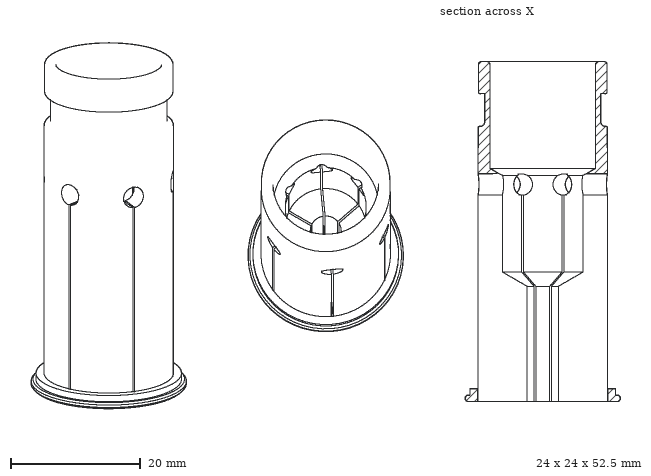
import cadquery as cq

total_height = 52.5
rim_height = 1.0
flange_height = 2.0
body_top = 42.5
head_bottom = 47.5

rim_radius = 24.0 / 2
flange_radius = 22.5 / 2
body_radius = 20.0 / 2
neck_radius = 18.0 / 2
head_radius = 19.9 / 2

rim_chamfer = 0.3
body_round = 0.3
neck_fillet = 0.6
head_top_round = 0.5
head_bottom_round = 0.3

mouth_radius = 16.3 / 2
chamber_radius = 12.5 / 2
through_radius = 4.8 / 2
mouth_round = 0.5
chamber_top = 34.9
chamber_bottom = 20.0
cone_slope = 0.577

slit_count = 6
slit_width = 0.3
first_slit_angle = 30.0
relief_diameter = 3.3
relief_height = 33.5


def make_outer_body():
    """Revolved outside shape: flange with rim, sleeve, neck and head."""
    profile = (
        cq.Workplane("XZ")
        .moveTo(0, 0)
        .lineTo(rim_radius - rim_chamfer, 0)
        .lineTo(rim_radius, rim_chamfer)
        .lineTo(rim_radius, rim_height - rim_chamfer)
        .lineTo(rim_radius - rim_chamfer, rim_height)
        .lineTo(flange_radius, rim_height)
        .lineTo(flange_radius, flange_height)
        .lineTo(body_radius, flange_height)
        .lineTo(body_radius, body_top - body_round)
        .radiusArc((body_radius - body_round, body_top), -body_round)
        .lineTo(neck_radius + neck_fillet, body_top)
        .radiusArc((neck_radius, body_top + neck_fillet), neck_fillet)
        .lineTo(neck_radius, head_bottom)
        .lineTo(head_radius - head_bottom_round, head_bottom)
        .radiusArc((head_radius, head_bottom + head_bottom_round), -head_bottom_round)
        .lineTo(head_radius, total_height - head_top_round)
        .radiusArc((head_radius - head_top_round, total_height), -head_top_round)
        .lineTo(0, total_height)
        .close()
    )
    return profile.revolve(360, (0, 0, 0), (0, 1, 0))


def make_bore():
    """Revolved cavity running through the whole part."""
    mouth_bottom = chamber_top + (mouth_radius - chamber_radius) * cone_slope
    through_top = chamber_bottom - (chamber_radius - through_radius) * cone_slope
    profile = (
        cq.Workplane("XZ")
        .moveTo(0, 0)
        .lineTo(through_radius, 0)
        .lineTo(through_radius, through_top)
        .lineTo(chamber_radius, chamber_bottom)
        .lineTo(chamber_radius, chamber_top)
        .lineTo(mouth_radius, mouth_bottom)
        .lineTo(mouth_radius, total_height - mouth_round)
        .radiusArc((mouth_radius + mouth_round, total_height), mouth_round)
        .lineTo(0, total_height)
        .close()
    )
    return profile.revolve(360, (0, 0, 0), (0, 1, 0))


def make_slit(angle):
    """Radial slit from the bottom up to its relief hole; it stops at the sleeve's outer radius."""
    slit = cq.Workplane("XY").box(
        rim_radius, slit_width, relief_height, centered=(False, True, False)
    )
    sleeve = cq.Workplane("XY").circle(body_radius).extrude(relief_height)
    relief = (
        cq.Workplane("YZ")
        .center(0, relief_height)
        .circle(relief_diameter / 2)
        .extrude(rim_radius)
    )
    return slit.intersect(sleeve).union(relief).rotate((0, 0, 0), (0, 0, 1), angle)


result = make_outer_body().cut(make_bore())
for index in range(slit_count):
    result = result.cut(make_slit(first_slit_angle + index * 360.0 / slit_count))